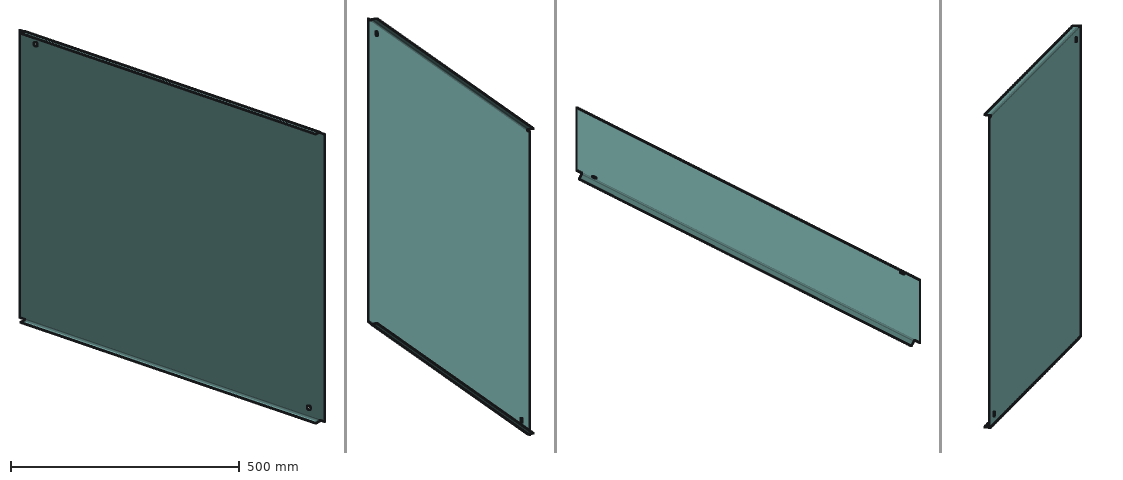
import cadquery as cq

width = 844.0
depth = 15.0
height = 706.0

thickness = 1.0
inner_radius = 1.5
outer_radius = inner_radius + thickness

flange_inset = 13.5
flange_length = width - 2 * flange_inset

hole_diameter = 10.0
hole_from_side = 44.0
hole_from_end = 24.0

back_y = depth / 2
front_y = -depth / 2


def make_panel():
    """Flat sheet, ending at the start of the bends."""
    flat_height = height - 2 * outer_radius
    return cq.Workplane("XY").box(width, thickness, flat_height).translate((0, back_y - thickness / 2, 0))


def make_folded_channel():
    """Channel of constant thickness: the web with a rounded bend and a flange at top and bottom."""
    outer = (
        cq.Workplane("XY")
        .box(flange_length, depth, height)
        .edges("|X and >Y")
        .fillet(outer_radius)
    )
    inner_depth = 2 * (depth - thickness)
    inner = (
        cq.Workplane("XY")
        .box(flange_length, inner_depth, height - 2 * thickness)
        .translate((0, front_y, 0))
        .edges("|X and >Y")
        .fillet(inner_radius)
    )
    return outer.cut(inner)


def make_holes():
    """Cylinders through the panel at upper left and lower right."""
    hole_x = width / 2 - hole_from_side
    hole_z = height / 2 - hole_from_end
    return (
        cq.Workplane("XZ")
        .pushPoints([(-hole_x, hole_z), (hole_x, -hole_z)])
        .circle(hole_diameter / 2)
        .extrude(depth, both=True)
    )


result = make_panel().union(make_folded_channel()).cut(make_holes())